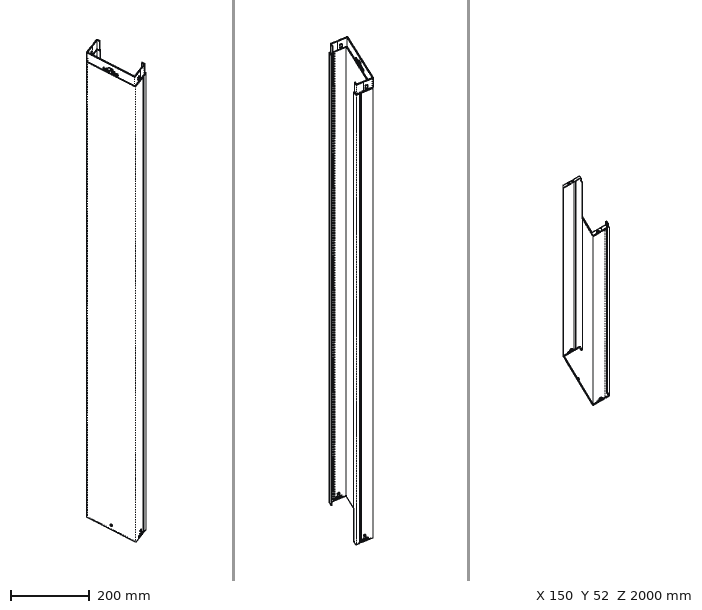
import cadquery as cq

length = 2000.0
width = 150.0
body_depth = 50.0
sheet = 3.0
body_bend_radius = 2.0
tongue_bend_radius = 2.8
joggle = 2.0
tongue_length = 40.0
lip_width = 12.0

total_depth = body_depth + joggle
tongue_front = -total_depth / 2
body_front = tongue_front + joggle
tongue_width = width - 2 * joggle
joint_z = length - tongue_length

groove_depth = 1.0
body_groove_width = 5.0
body_groove_y = 12.0
tongue_groove_width = 12.0
tongue_groove_y = 3.0

hole_diameter = 6.5
web_hole_z = 18.0
flange_hole_z = 25.0
flange_hole_y = 0.0

window_y = -1.0
window_width = 18.0
window_top_width = 5.0
window_bottom_z = 5.0
window_wall_z = 9.0
window_top_z = 15.0

slot_y = -6.5
slot_bottom_z = 1965.0
slot_top_z = 1982.0
slot_width = 6.5

latch_width = 45.0
latch_bottom_z = 1968.0
latch_shoulder_z = 1973.0
latch_hump_width = 25.0
latch_top_width = 8.0
latch_top_z = 1985.0
latch_tab_top_z = 1975.0
latch_tab_width = 6.5


def channel(outer_width, front_y, lip, bend_radius, bottom_z, height):
    """Channel with its web at front_y and inward lips at the back."""
    back_y = front_y + body_depth
    outer = cq.Workplane("XY").box(outer_width, body_depth, height, centered=(True, False, False))
    inside = cq.Workplane("XY").box(
        outer_width - 2 * sheet, body_depth - 2 * sheet, height, centered=(True, False, False)
    )
    mouth = cq.Workplane("XY").box(
        outer_width - 2 * lip, 2 * sheet, height, centered=(True, True, False)
    )
    return (
        outer.translate((0, front_y, bottom_z))
        .edges("|Z")
        .fillet(bend_radius)
        .cut(inside.translate((0, front_y + sheet, bottom_z)))
        .cut(mouth.translate((0, back_y, bottom_z)))
    )


def flange_grooves(outer_width, center_y, opening, bottom_z, height):
    """Pair of V grooves cut into the outer faces of both flanges."""
    right = (
        cq.Workplane("XY", origin=(0, 0, bottom_z))
        .moveTo(outer_width / 2, center_y - opening / 2)
        .lineTo(outer_width / 2 - groove_depth, center_y)
        .lineTo(outer_width / 2, center_y + opening / 2)
        .close()
        .extrude(height)
    )
    return right.union(right.mirror("YZ"))


def web_hole():
    """Round hole through the web at the lower end."""
    return (
        cq.Workplane("XZ")
        .center(0, web_hole_z)
        .circle(hole_diameter / 2)
        .extrude(total_depth / 2)
    )


def flange_openings():
    """Round holes, lower windows and tongue slots, each through both flanges."""
    side = cq.Workplane("YZ")
    holes = (
        side.center(flange_hole_y, flange_hole_z)
        .circle(hole_diameter / 2)
        .extrude(width / 2, both=True)
    )
    windows = side.polyline([
        (window_y - window_width / 2, window_bottom_z),
        (window_y + window_width / 2, window_bottom_z),
        (window_y + window_width / 2, window_wall_z),
        (window_y + window_top_width / 2, window_top_z),
        (window_y - window_top_width / 2, window_top_z),
        (window_y - window_width / 2, window_wall_z),
    ]).close().extrude(width / 2, both=True)
    slots = (
        side.center(slot_y, (slot_bottom_z + slot_top_z) / 2)
        .slot2D(slot_top_z - slot_bottom_z, slot_width, 90)
        .extrude(width / 2, both=True)
    )
    return holes.union(windows).union(slots)


def latch_opening():
    """Wide slot with a tapered hump, leaving a round-ended tab standing on its lower edge."""
    opening = cq.Workplane("XZ").polyline([
        (-latch_width / 2, latch_bottom_z),
        (latch_width / 2, latch_bottom_z),
        (latch_width / 2, latch_shoulder_z),
        (latch_hump_width / 2, latch_shoulder_z),
        (latch_top_width / 2, latch_top_z),
        (-latch_top_width / 2, latch_top_z),
        (-latch_hump_width / 2, latch_shoulder_z),
        (-latch_width / 2, latch_shoulder_z),
    ]).close().extrude(total_depth / 2)
    tab_radius = latch_tab_width / 2
    tab = (
        cq.Workplane("XZ")
        .moveTo(-tab_radius, latch_bottom_z)
        .lineTo(tab_radius, latch_bottom_z)
        .lineTo(tab_radius, latch_tab_top_z - tab_radius)
        .threePointArc((0, latch_tab_top_z), (-tab_radius, latch_tab_top_z - tab_radius))
        .close()
        .extrude(total_depth / 2)
    )
    return opening.cut(tab)


body = channel(width, body_front, lip_width, body_bend_radius, 0, joint_z)
body = body.cut(flange_grooves(width, body_groove_y, body_groove_width, 0, joint_z))

tongue = channel(
    tongue_width, tongue_front, lip_width - joggle, tongue_bend_radius, joint_z, tongue_length
)
tongue = tongue.cut(
    flange_grooves(tongue_width, tongue_groove_y, tongue_groove_width, joint_z, tongue_length)
)

result = body.union(tongue).cut(web_hole()).cut(flange_openings()).cut(latch_opening())